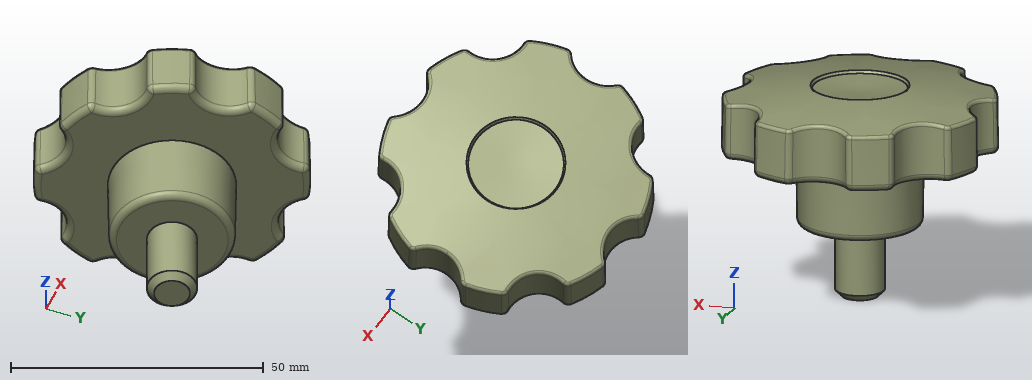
import cadquery as cq
import math

stud_length = 15.0
hub_height = 15.1
dome_rim_height = 13.6
hub_bottom = stud_length
grip_bottom = hub_bottom + hub_height
dish_rim = grip_bottom + dome_rim_height

stud_diameter = 10.0
stud_chamfer = 1.45

draft_angle = 1.0
lower_fillet = 1.45
hub_bottom_radius = 12.5

grip_bottom_radius = 27.45
dome_radius = 149.8
flute_count = 8
flute_radius = 7.0
flute_floor_distance = 23.25
corner_fillet = 1.4
upper_fillet = 0.75

dish_rim_radius = 9.85
dish_floor_radius = 9.45
dish_wall_depth = 0.6
dish_centre_depth = 1.05

draft_slope = math.tan(math.radians(draft_angle))


def dome_height(radius):
    """Height of the spherical dome at a distance from the axis, level with the dish rim at its edge."""
    sphere_centre = dish_rim - math.sqrt(dome_radius**2 - dish_rim_radius**2)
    return sphere_centre + math.sqrt(dome_radius**2 - radius**2)


def make_stud():
    stud = cq.Workplane("XY").circle(stud_diameter / 2).extrude(grip_bottom)
    return stud.faces("<Z").chamfer(stud_chamfer)


def make_hub():
    hub = (
        cq.Workplane("XY", origin=(0, 0, hub_bottom))
        .circle(hub_bottom_radius)
        .extrude(hub_height, taper=-draft_angle)
    )
    return hub.faces("<Z").edges().fillet(lower_fillet)


def make_grip_blank():
    grip_top_radius = grip_bottom_radius - draft_slope * (dome_height(grip_bottom_radius) - grip_bottom)
    return (
        cq.Workplane("XZ")
        .moveTo(0, grip_bottom)
        .lineTo(grip_bottom_radius, grip_bottom)
        .lineTo(grip_top_radius, dome_height(grip_top_radius))
        .threePointArc((grip_top_radius / 2, dome_height(grip_top_radius / 2)), (0, dome_height(0)))
        .close()
        .revolve(360, (0, 0), (0, 1))
    )


def make_grip():
    flutes = (
        cq.Workplane("XY", origin=(0, 0, grip_bottom))
        .polarArray(flute_floor_distance + flute_radius, 0, 360, flute_count)
        .circle(flute_radius)
        .extrude(dome_height(0) - grip_bottom)
    )
    grip = make_grip_blank().cut(flutes)
    corner_zone = cq.selectors.BoxSelector(
        (-grip_bottom_radius, -grip_bottom_radius, grip_bottom + lower_fillet),
        (grip_bottom_radius, grip_bottom_radius, dome_height(grip_bottom_radius) - upper_fillet),
    )
    grip = grip.edges(corner_zone).fillet(corner_fillet)
    grip = grip.faces("<Z").edges().fillet(lower_fillet)
    return grip.faces(">Z").edges().fillet(upper_fillet)


def make_dish_cutter():
    return (
        cq.Workplane("XZ")
        .moveTo(0, dish_rim - dish_centre_depth)
        .lineTo(dish_floor_radius, dish_rim - dish_wall_depth)
        .lineTo(dish_rim_radius, dish_rim)
        .lineTo(dish_rim_radius, dome_height(0))
        .lineTo(0, dome_height(0))
        .close()
        .revolve(360, (0, 0), (0, 1))
    )


result = make_grip().cut(make_dish_cutter()).union(make_hub()).union(make_stud())